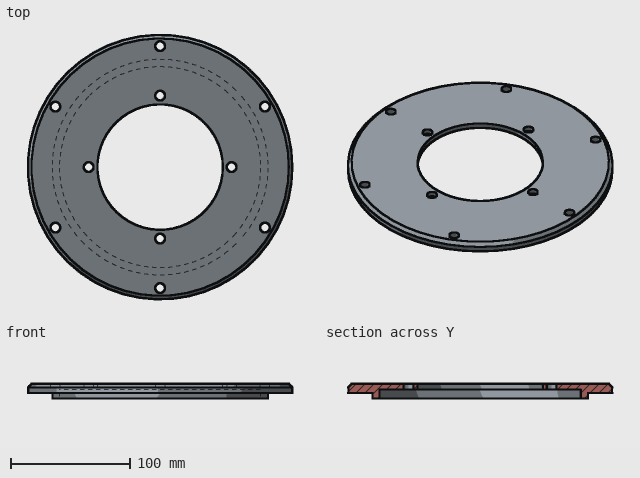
import cadquery as cq

flange_diameter = 222.0
flange_thickness = 8.0
edge_chamfer = 3.0

spigot_diameter = 181.2
spigot_height = 4.5
recess_diameter = 168.7
web_thickness = 4.9

bore_diameter = 105.0
hole_diameter = 8.0
inner_hole_circle_radius = 60.0
inner_hole_count = 4
outer_hole_circle_radius = 101.5
outer_hole_count = 6
first_hole_angle = 90

total_height = flange_thickness + spigot_height
recess_depth = total_height - web_thickness


def hole_ring(circle_radius, count):
    """Through-hole cutters equally spaced on a circle, starting on +Y."""
    return (
        cq.Workplane("XY")
        .polarArray(circle_radius, first_hole_angle, 360, count)
        .circle(hole_diameter / 2)
        .extrude(total_height)
    )


spigot = cq.Workplane("XY").circle(spigot_diameter / 2).extrude(spigot_height)
flange = (
    cq.Workplane("XY", origin=(0, 0, spigot_height))
    .circle(flange_diameter / 2)
    .extrude(flange_thickness)
    .faces(">Z")
    .chamfer(edge_chamfer)
)
body = flange.union(spigot)

recess = cq.Workplane("XY").circle(recess_diameter / 2).extrude(recess_depth)
bore = cq.Workplane("XY").circle(bore_diameter / 2).extrude(total_height)
body = body.cut(recess).cut(bore)

inner_holes = hole_ring(inner_hole_circle_radius, inner_hole_count)
outer_holes = hole_ring(outer_hole_circle_radius, outer_hole_count)
result = body.cut(inner_holes).cut(outer_holes)